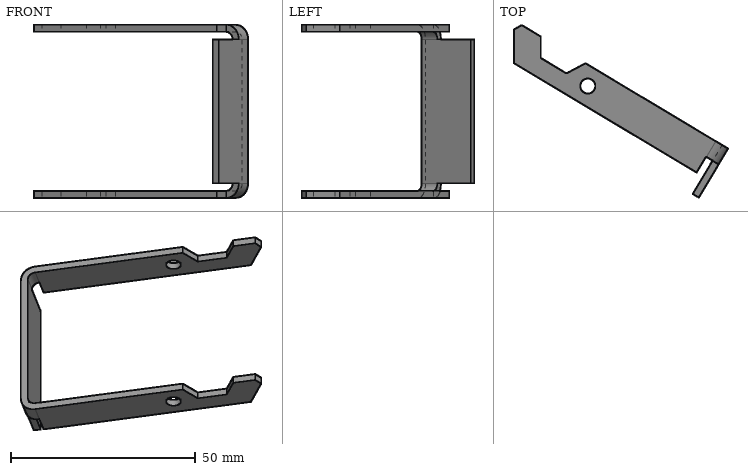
import cadquery as cq
import math

TILT = 30.9
HEIGHT = 47.0
THICKNESS = 2.0
BEND_RADIUS = 4.0

ARM_LENGTH = 57.75
ARM_WIDTH = 10.0
HALF_WIDTH = ARM_WIDTH / 2
SHOULDER_X = -41.05
HOOK_INNER_X = -52.15
SHOULDER_RUN = 3.0
TIP_CHAMFER_RUN = 1.2
TIP_CHAMFER_DROP = 2.15

HOLE_DIAMETER = 4.0
HOLE_X = -37.35
WEB_WIDTH = 15.5

LEAN = math.tan(math.radians(TILT))
TIP_SIDE_Y = ARM_WIDTH - TIP_CHAMFER_DROP
TIP_SIDE_X = -ARM_LENGTH - TIP_SIDE_Y * LEAN
WEB_HEIGHT = HEIGHT - 2 * BEND_RADIUS


def make_arm():
    """Upper arm with its hook, neck and pivot hole."""
    outline = [
        (0, 0),
        (0, ARM_WIDTH),
        (SHOULDER_X, ARM_WIDTH),
        (SHOULDER_X - SHOULDER_RUN, HALF_WIDTH),
        (HOOK_INNER_X, HALF_WIDTH),
        (HOOK_INNER_X - HALF_WIDTH * LEAN, ARM_WIDTH),
        (TIP_SIDE_X + TIP_CHAMFER_RUN, ARM_WIDTH),
        (TIP_SIDE_X, TIP_SIDE_Y),
        (-ARM_LENGTH, 0),
    ]
    plate = (
        cq.Workplane("XY").workplane(offset=HEIGHT / 2 - THICKNESS)
        .polyline(outline).close().extrude(THICKNESS)
    )
    hole = (
        cq.Workplane("XY").center(HOLE_X, HALF_WIDTH)
        .circle(HOLE_DIAMETER / 2).extrude(HEIGHT)
    )
    return plate.cut(hole)


def make_bend():
    """Quarter-ring tab from the end of the upper arm down to the web."""
    inner_radius = BEND_RADIUS - THICKNESS
    diagonal = math.sqrt(0.5)
    return (
        cq.Workplane("XZ", origin=(0, ARM_WIDTH, WEB_HEIGHT / 2))
        .moveTo(0, BEND_RADIUS)
        .threePointArc((BEND_RADIUS * diagonal, BEND_RADIUS * diagonal), (BEND_RADIUS, 0))
        .lineTo(inner_radius, 0)
        .threePointArc((inner_radius * diagonal, inner_radius * diagonal), (0, inner_radius))
        .close()
        .extrude(HALF_WIDTH)
    )


def make_web():
    """Upright plate between the two bends."""
    return (
        cq.Workplane("XY")
        .box(THICKNESS, WEB_WIDTH, WEB_HEIGHT)
        .translate((BEND_RADIUS - THICKNESS / 2, ARM_WIDTH - WEB_WIDTH / 2, 0))
    )


upper_half = make_arm().union(make_bend())
lower_half = upper_half.mirror("XY")
bracket = make_web().union(upper_half).union(lower_half)
result = bracket.rotate((0, 0, 0), (0, 0, 1), -TILT)